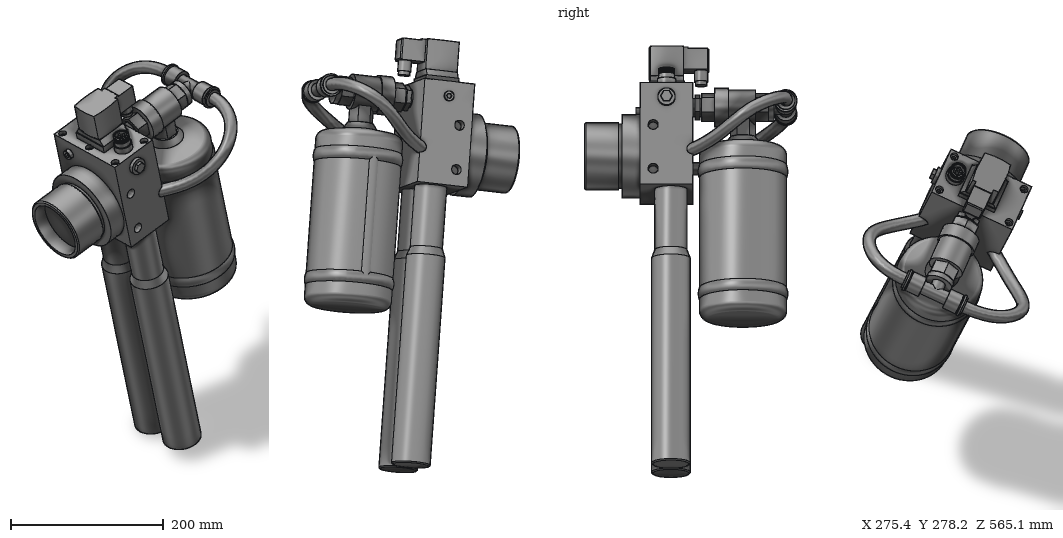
import cadquery as cq

LEAN_ANGLE = 13.0

BLOCK_WIDTH = 116.5
BLOCK_DEPTH = 69.0
BLOCK_TOP = 86.0
BLOCK_BOTTOM = -51.0
BLOCK_SIDE = BLOCK_WIDTH / 2
BLOCK_MIDDLE_Y = BLOCK_DEPTH / 2

FLANGE_DIAMETER = 109.0
FLANGE_LENGTH = 24.0
RELIEF_DIAMETER = 85.0
RELIEF_LENGTH = 4.5
CONNECTOR_DIAMETER = 88.0
CONNECTOR_END = 73.0
CONNECTOR_CHAMFER = 1.5
CONNECTOR_BORE = 76.0
CONNECTOR_BORE_DEPTH = 18.5

SCREW_HOLE_DIAMETER = 10.0
SCREW_HOLE_DEPTH = 5.5
SCREW_SOCKET_DIAMETER = 5.5
SCREW_SOCKET_DEPTH = 5.5
SCREW_INSET = 8.0
MIDDLE_SCREW_INSET = 9.0
SIDE_PORT_DIAMETER = 13.0
SIDE_PORT_DEPTH = 14.0
SIDE_PORT_Y = 17.0
SIDE_PORT_HEIGHT = 29.5
PORT_LINE = 66.0
PLUG_DIAMETER = 13.0
PLUG_SOCKET = 7.0
SIDE_PLUG_LENGTH = 3.0
FRONT_PLUG_LENGTH = 5.5
FRONT_PLUG_X = -32.0
SENSOR_WASHER_DIAMETER = 22.5
SENSOR_WASHER_LENGTH = 5.0
SENSOR_HEX = 15.0
SENSOR_LENGTH = 9.5

COIL_WIDTH = 40.5
COIL_DEPTH = 47.0
COIL_X = -1.0
COIL_Y = 35.0
COIL_BOTTOM = 104.0
COIL_TOP = 144.0
COIL_BULGE = 1.5
COIL_BASE_WIDTH = 52.0
COIL_BASE_DEPTH = 45.0
FLARE_DEPTH = 43.0
COIL_BASE_TOP = 95.5
PLUG_SEAT_BACK = 63.0
PLUG_BOX_WIDTH = 25.5
PLUG_BOX_CHAMFER = 1.5
PLUG_BOX_BACK = 90.0
PLUG_BOX_BOTTOM = 114.0
PLUG_BOX_TOP = 142.5
GLAND_DIAMETER = 17.5
GLAND_Y = 80.0
GLAND_BOTTOM = 100.0
GLAND_TIP_DIAMETER = 15.0
GLAND_TIP_BOTTOM = 95.0

SOCKET_X = 39.0
SOCKET_RING_DIAMETER = 24.5
SOCKET_RING_TOP = 95.0
SOCKET_DIAMETER = 21.0
SOCKET_TOP = 108.5
THREAD_ROOT_DIAMETER = 18.5
THREAD_PITCH = 2.0
THREAD_GROOVE = 1.0
THREAD_GROOVE_COUNT = 3
SOCKET_BORE = 15.0
SOCKET_BORE_DEPTH = 8.5
CONTACT_DIAMETER = 3.2
CONTACT_CIRCLE = 8.0
CONTACT_LENGTH = 7.0
CONTACT_COUNT = 4

HANDLE_SPACING = 54.5
HANDLE_X = 1.5
HANDLE_Y = 40.0
PIPE_DIAMETER = 42.5
GRIP_DIAMETER = 51.0
TAPER_TOP = -132.5
TAPER_BOTTOM = -143.5
GRIP_BOTTOM = -420.0
GRIP_CHAMFER = 1.5

VALVE_HEIGHT = 65.5
NIPPLE_DIAMETER = 24.5
WASHER_HEX = 34.0
WASHER_START = 72.0
WASHER_END = 78.0
NUT_HEX = 38.0
LOCKNUT_DIAMETER = 36.0
FRONT_NUT_START = 80.5
COLLAR_START = 97.0
COLLAR_END = 115.5
COLLAR_DIAMETER = 51.0
VALVE_DIAMETER = 46.5
VALVE_END = 151.0
REAR_NUT_END = 168.0
LOCKNUT_END = 175.5

TEE_Y = 190.5
TEE_DIAMETER = 18.0
COUPLING_DIAMETER = 27.0
COUPLING_START = 17.5
COUPLING_END = 36.0
COUPLING_RING_DIAMETER = 29.5
COUPLING_RING_START = 38.0
COUPLING_RING_END = 40.5
COUPLING_LIP_DIAMETER = 24.5
COUPLING_LIP_END = 43.0
HOSE_DIAMETER = 16.5
HOSE_STRAIGHT_END = 54.0
LEFT_HOSE_BENDS = [
    (95.0, 176.5, 59.0),
    (113.5, 148.0, 42.5),
    (91.5, 104.0, 9.5),
    (58.0, 71.0, -3.5),
    (44.0, 58.0, -6.0),
]
RIGHT_HOSE_BENDS = [
    (90.0, 176.0, 57.0),
    (106.5, 147.0, 40.5),
    (89.0, 104.0, 11.0),
    (59.5, 73.5, -1.5),
    (45.0, 59.5, -4.5),
]

CANISTER_Y = 134.5
CANISTER_RADIUS = 57.0
CANISTER_BOTTOM = -219.0
CANISTER_FILLET_START = -207.5
SHOULDER_BOTTOM = 0.5
SHOULDER_TOP = 11.5
SHOULDER_RADIUS = 50.0
HUB_RADIUS = 23.0
HUB_BOTTOM = 16.5
HUB_TOP_RADIUS = 17.0
HUB_TOP = 25.5
STEM_HEX = 33.0
BEAD_HEIGHT = 1.5
UPPER_BEAD = (-29.0, -12.5)
LOWER_BEAD = (-192.0, -177.0)
RIB_ANGLE = 184.5
RIB_RADIUS = 12.5
RIB_RISE = 1.4


def upright_cylinder(x, y, bottom, top, diameter):
    """Cylinder along Z."""
    return cq.Workplane("XY", origin=(x, y, bottom)).circle(diameter / 2).extrude(top - bottom)


def depth_cylinder(x, z, start, end, diameter):
    """Cylinder along Y, from y = start to y = end."""
    return cq.Workplane("XZ", origin=(x, start, z)).circle(diameter / 2).extrude(start - end)


def side_cylinder(y, z, start, end, diameter):
    """Cylinder along X, from x = start to x = end."""
    return cq.Workplane("YZ", origin=(start, y, z)).circle(diameter / 2).extrude(end - start)


def depth_hexagon(start, end, across_corners):
    """Hexagonal nut on the valve axis, with corners at top and bottom."""
    hexagon = cq.Workplane("XZ", origin=(0, start, VALVE_HEIGHT))
    return hexagon.transformed(rotate=(0, 0, 90)).polygon(6, across_corners).extrude(start - end)


def upright_box(x, y, width, depth, bottom, top):
    """Box centred on x, y and standing between two heights."""
    return cq.Workplane("XY", origin=(x, y, bottom)).rect(width, depth).extrude(top - bottom)


def front_connector():
    flange = depth_cylinder(0, 0, 0, -FLANGE_LENGTH, FLANGE_DIAMETER)
    relief_end = -FLANGE_LENGTH - RELIEF_LENGTH
    relief = depth_cylinder(0, 0, -FLANGE_LENGTH, relief_end, RELIEF_DIAMETER)
    sleeve = depth_cylinder(0, 0, relief_end, -CONNECTOR_END, CONNECTOR_DIAMETER)
    sleeve = sleeve.faces("<Y").chamfer(CONNECTOR_CHAMFER)
    bore = depth_cylinder(0, 0, -CONNECTOR_END, CONNECTOR_BORE_DEPTH - CONNECTOR_END, CONNECTOR_BORE)
    return flange.union(relief).union(sleeve).cut(bore)


def block_holes():
    """Screw holes in the top face and ports in both side faces."""
    hole_bottom = BLOCK_TOP - SCREW_HOLE_DEPTH
    hole_places = [(0, MIDDLE_SCREW_INSET)]
    for side in (-1, 1):
        for y in (SCREW_INSET, BLOCK_DEPTH - SCREW_INSET):
            hole_places.append((side * (BLOCK_SIDE - SCREW_INSET), y))
    holes = cq.Workplane("XY", origin=(0, 0, hole_bottom)).pushPoints(hole_places)
    holes = holes.circle(SCREW_HOLE_DIAMETER / 2).extrude(SCREW_HOLE_DEPTH)
    sockets = cq.Workplane("XY", origin=(0, 0, hole_bottom)).pushPoints(hole_places)
    sockets = sockets.circle(SCREW_SOCKET_DIAMETER / 2).extrude(-SCREW_SOCKET_DEPTH)
    holes = holes.union(sockets)
    for side in (-1, 1):
        for z in (-SIDE_PORT_HEIGHT, SIDE_PORT_HEIGHT):
            inner_end = side * (BLOCK_SIDE - SIDE_PORT_DEPTH)
            port = side_cylinder(SIDE_PORT_Y, z, side * BLOCK_SIDE, inner_end, SIDE_PORT_DIAMETER)
            holes = holes.union(port)
    return holes


def block_plugs():
    """Socket plugs in the left and front faces and a hexagonal sensor in the right face."""
    left_end = -BLOCK_SIDE - SIDE_PLUG_LENGTH
    left = side_cylinder(BLOCK_MIDDLE_Y, PORT_LINE, -BLOCK_SIDE, left_end, PLUG_DIAMETER)
    left = left.faces("<X").workplane().polygon(6, PLUG_SOCKET).cutBlind(-SIDE_PLUG_LENGTH)
    front = depth_cylinder(FRONT_PLUG_X, PORT_LINE, 0, -FRONT_PLUG_LENGTH, PLUG_DIAMETER)
    front = front.faces("<Y").workplane().polygon(6, PLUG_SOCKET).cutBlind(-FRONT_PLUG_LENGTH / 2)
    washer_end = BLOCK_SIDE + SENSOR_WASHER_LENGTH
    washer = side_cylinder(BLOCK_MIDDLE_Y, PORT_LINE, BLOCK_SIDE, washer_end, SENSOR_WASHER_DIAMETER)
    sensor = cq.Workplane("YZ", origin=(BLOCK_SIDE, BLOCK_MIDDLE_Y, PORT_LINE))
    sensor = sensor.polygon(6, SENSOR_HEX).extrude(SENSOR_LENGTH)
    return left.union(front).union(washer).union(sensor)


def solenoid():
    base = upright_box(COIL_X, COIL_Y, COIL_BASE_WIDTH, COIL_BASE_DEPTH, BLOCK_TOP, COIL_BASE_TOP)
    flare = (
        cq.Workplane("XY", origin=(COIL_X, COIL_Y, COIL_BASE_TOP))
        .rect(COIL_BASE_WIDTH, FLARE_DEPTH)
        .workplane(offset=COIL_BOTTOM - COIL_BASE_TOP)
        .rect(COIL_WIDTH, FLARE_DEPTH)
        .loft()
    )
    half_width = COIL_WIDTH / 2
    half_depth = COIL_DEPTH / 2
    corner_x = half_width - COIL_BULGE
    corner_y = half_depth - COIL_BULGE
    coil = (
        cq.Workplane("XY", origin=(COIL_X, COIL_Y, COIL_BOTTOM))
        .moveTo(-corner_x, -corner_y)
        .threePointArc((0, -half_depth), (corner_x, -corner_y))
        .threePointArc((half_width, 0), (corner_x, corner_y))
        .lineTo(-corner_x, corner_y)
        .threePointArc((-half_width, 0), (-corner_x, -corner_y))
        .close()
        .extrude(COIL_TOP - COIL_BOTTOM)
    )
    seat_depth = PLUG_SEAT_BACK - COIL_Y
    seat_middle = COIL_Y + seat_depth / 2
    seat = upright_box(0, seat_middle, PLUG_BOX_WIDTH, seat_depth, PLUG_BOX_BOTTOM, COIL_TOP)
    box_depth = PLUG_BOX_BACK - COIL_Y
    box_middle = COIL_Y + box_depth / 2
    box = upright_box(0, box_middle, PLUG_BOX_WIDTH, box_depth, PLUG_BOX_BOTTOM, PLUG_BOX_TOP)
    box = box.faces(">Y").chamfer(PLUG_BOX_CHAMFER)
    gland = upright_cylinder(0, GLAND_Y, GLAND_BOTTOM, PLUG_BOX_BOTTOM, GLAND_DIAMETER)
    tip = upright_cylinder(0, GLAND_Y, GLAND_TIP_BOTTOM, GLAND_BOTTOM, GLAND_TIP_DIAMETER)
    return base.union(flare).union(coil).union(seat).union(box).union(gland).union(tip)


def electrical_socket():
    ring = upright_cylinder(SOCKET_X, BLOCK_MIDDLE_Y, BLOCK_TOP, SOCKET_RING_TOP, SOCKET_RING_DIAMETER)
    barrel = upright_cylinder(SOCKET_X, BLOCK_MIDDLE_Y, SOCKET_RING_TOP, SOCKET_TOP, SOCKET_DIAMETER)
    for turn in range(1, THREAD_GROOVE_COUNT + 1):
        groove_bottom = SOCKET_TOP - turn * THREAD_PITCH
        groove_top = groove_bottom + THREAD_GROOVE
        groove = upright_cylinder(SOCKET_X, BLOCK_MIDDLE_Y, groove_bottom, groove_top, SOCKET_DIAMETER)
        root = upright_cylinder(SOCKET_X, BLOCK_MIDDLE_Y, groove_bottom, groove_top, THREAD_ROOT_DIAMETER)
        barrel = barrel.cut(groove).union(root)
    floor = SOCKET_TOP - SOCKET_BORE_DEPTH
    bore = upright_cylinder(SOCKET_X, BLOCK_MIDDLE_Y, floor, SOCKET_TOP, SOCKET_BORE)
    contacts = (
        cq.Workplane("XY", origin=(SOCKET_X, BLOCK_MIDDLE_Y, floor))
        .polarArray(CONTACT_CIRCLE / 2, 0, 360, CONTACT_COUNT)
        .circle(CONTACT_DIAMETER / 2)
        .extrude(CONTACT_LENGTH)
    )
    return ring.union(barrel).cut(bore).union(contacts)


def make_valve_block(hose_ends):
    """Block with everything fixed to it; the hose ends sit in matching holes."""
    block = upright_box(0, BLOCK_MIDDLE_Y, BLOCK_WIDTH, BLOCK_DEPTH, BLOCK_BOTTOM, BLOCK_TOP)
    block = block.cut(block_holes())
    block = block.union(front_connector()).union(block_plugs())
    block = block.union(solenoid()).union(electrical_socket())
    return block.cut(hose_ends)


def make_handle(side):
    """Pipe below the block that widens into a grip."""
    profile = [
        (0, BLOCK_BOTTOM),
        (PIPE_DIAMETER / 2, BLOCK_BOTTOM),
        (PIPE_DIAMETER / 2, TAPER_TOP),
        (GRIP_DIAMETER / 2, TAPER_BOTTOM),
        (GRIP_DIAMETER / 2, GRIP_BOTTOM + GRIP_CHAMFER),
        (GRIP_DIAMETER / 2 - GRIP_CHAMFER, GRIP_BOTTOM),
        (0, GRIP_BOTTOM),
    ]
    handle = cq.Workplane("XZ").polyline(profile).close().revolve(360, (0, 0, 0), (0, 1, 0))
    return handle.translate((HANDLE_X + side * HANDLE_SPACING / 2, HANDLE_Y, 0))


def check_valve():
    nipple = depth_cylinder(0, VALVE_HEIGHT, BLOCK_DEPTH, FRONT_NUT_START, NIPPLE_DIAMETER)
    valve = nipple.union(depth_hexagon(WASHER_START, WASHER_END, WASHER_HEX))
    valve = valve.union(depth_hexagon(FRONT_NUT_START, COLLAR_START, NUT_HEX))
    valve = valve.union(depth_cylinder(0, VALVE_HEIGHT, COLLAR_START, COLLAR_END, COLLAR_DIAMETER))
    valve = valve.union(depth_cylinder(0, VALVE_HEIGHT, COLLAR_END, VALVE_END, VALVE_DIAMETER))
    valve = valve.union(depth_hexagon(VALVE_END, REAR_NUT_END, NUT_HEX))
    locknut = depth_cylinder(0, VALVE_HEIGHT, REAR_NUT_END, LOCKNUT_END, LOCKNUT_DIAMETER)
    return valve.union(locknut)


def tee():
    """Branch from the valve to a cross tube with a push-in coupling at each end."""
    fitting = depth_cylinder(0, VALVE_HEIGHT, LOCKNUT_END, TEE_Y, TEE_DIAMETER)
    sections = [
        (0, COUPLING_LIP_END, TEE_DIAMETER),
        (COUPLING_START, COUPLING_END, COUPLING_DIAMETER),
        (COUPLING_RING_START, COUPLING_RING_END, COUPLING_RING_DIAMETER),
        (COUPLING_RING_END, COUPLING_LIP_END, COUPLING_LIP_DIAMETER),
    ]
    for side in (-1, 1):
        for start, end, diameter in sections:
            fitting = fitting.union(side_cylinder(TEE_Y, VALVE_HEIGHT, side * start, side * end, diameter))
    return fitting


def hose(side, centreline):
    """Hose that leaves the tee sideways, bends round and sinks down into the block."""
    start = (side * COUPLING_END, TEE_Y, VALVE_HEIGHT)
    straight_end = (side * HOSE_STRAIGHT_END, TEE_Y, VALVE_HEIGHT)
    bends = [(side * distance, y, z) for distance, y, z in centreline]
    path = cq.Workplane("XY").spline([start, straight_end, *bends])
    section = cq.Workplane("YZ", origin=start)
    return section.circle(HOSE_DIAMETER / 2).sweep(path)


def canister():
    """Round tank with a domed top, two beads and a lengthwise rib, hung below the valve."""
    crest = CANISTER_RADIUS + BEAD_HEIGHT
    bottom_radius = CANISTER_RADIUS - (CANISTER_FILLET_START - CANISTER_BOTTOM)
    outline = (
        cq.Workplane("XZ")
        .moveTo(0, CANISTER_BOTTOM)
        .lineTo(bottom_radius, CANISTER_BOTTOM)
        .radiusArc((CANISTER_RADIUS, CANISTER_FILLET_START), CANISTER_BOTTOM - CANISTER_FILLET_START)
    )
    for bead_bottom, bead_top in (LOWER_BEAD, UPPER_BEAD):
        bead_middle = (bead_bottom + bead_top) / 2
        outline = outline.lineTo(CANISTER_RADIUS, bead_bottom)
        outline = outline.threePointArc((crest, bead_middle), (CANISTER_RADIUS, bead_top))
    tank = (
        outline.lineTo(CANISTER_RADIUS, SHOULDER_BOTTOM)
        .tangentArcPoint((SHOULDER_RADIUS, SHOULDER_TOP), relative=False)
        .lineTo(HUB_RADIUS, HUB_BOTTOM)
        .lineTo(HUB_TOP_RADIUS, HUB_TOP)
        .lineTo(0, HUB_TOP)
        .close()
        .revolve(360, (0, 0, 0), (0, 1, 0))
        .rotate((0, 0, 0), (0, 0, 1), 90)
    )
    rib_offset = CANISTER_RADIUS + RIB_RISE - RIB_RADIUS
    rib = upright_cylinder(rib_offset, 0, sum(LOWER_BEAD) / 2, sum(UPPER_BEAD) / 2, 2 * RIB_RADIUS)
    rib = rib.rotate((0, 0, 0), (0, 0, 1), RIB_ANGLE)
    stem = cq.Workplane("XY", origin=(0, 0, HUB_TOP)).transformed(rotate=(0, 0, 90))
    stem = stem.polygon(6, STEM_HEX).extrude(VALVE_HEIGHT - HUB_TOP)
    return tank.union(rib).union(stem).translate((0, CANISTER_Y, 0))


def make_reservoir(hoses):
    """Canister, valve, tee and both hoses as one body."""
    return canister().union(check_valve()).union(tee()).union(hoses)


def lean(body):
    return body.rotate((0, 0, 0), (0, 1, 0), -LEAN_ANGLE)


hoses = hose(-1, LEFT_HOSE_BENDS).union(hose(1, RIGHT_HOSE_BENDS))
reservoir = lean(make_reservoir(hoses))
valve_block = lean(make_valve_block(hoses))
handles = [lean(make_handle(side)) for side in (-1, 1)]

result = cq.Compound.makeCompound(
    [valve_block.val(), reservoir.val(), *[handle.val() for handle in handles]]
)